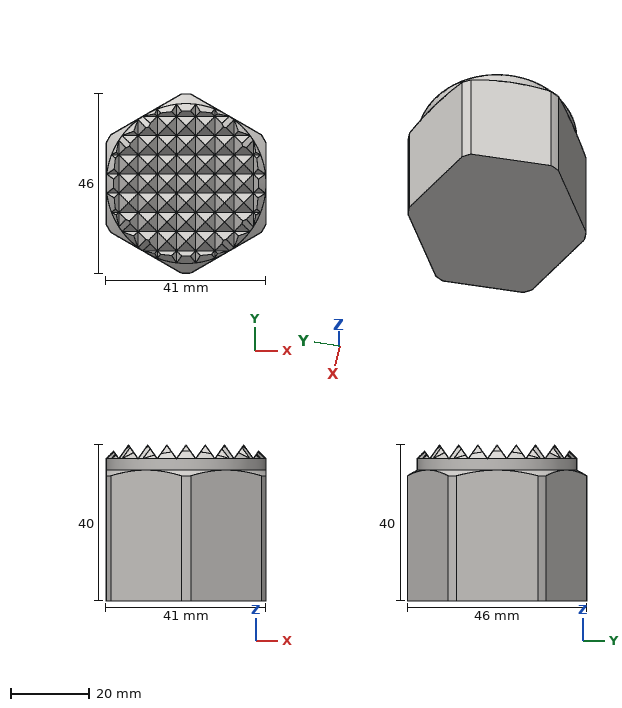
import cadquery as cq
import math

height = 40.0
across_flats = 41.0
corner_diameter = 46.0
tooth_height = 3.5
tooth_pitch = 4.9
grooves_per_direction = 8
collar_height = 2.95
shoulder_angle = 30.0
rim_bevel_angle = 45.0
hex_half_angle = 30.0

collar_radius = across_flats / 2
corner_radius = corner_diameter / 2
tooth_root_z = height - tooth_height
collar_base_z = tooth_root_z - collar_height
shoulder_drop = (corner_radius - collar_radius) * math.tan(math.radians(shoulder_angle))
corner_top_z = collar_base_z - shoulder_drop
bevel_top_radius = collar_radius - tooth_height / math.tan(math.radians(rim_bevel_angle))


def hex_prism():
    """Full-height hexagon with corners along Y and flats facing X."""
    circumscribed_diameter = across_flats / math.cos(math.radians(hex_half_angle))
    return (
        cq.Workplane("XY")
        .polygon(6, circumscribed_diameter)
        .extrude(height)
        .rotate((0, 0, 0), (0, 0, 1), hex_half_angle)
    )


def turned_envelope():
    """Revolved limit: rounded corners, conical shoulder, collar and beveled tooth rim."""
    return (
        cq.Workplane("XZ")
        .lineTo(corner_radius, 0)
        .lineTo(corner_radius, corner_top_z)
        .lineTo(collar_radius, collar_base_z)
        .lineTo(collar_radius, tooth_root_z)
        .lineTo(bevel_top_radius, height)
        .lineTo(0, height)
        .close()
        .revolve(axisStart=(0, 0, 0), axisEnd=(0, 1, 0))
    )


def v_grooves(plane):
    """Row of parallel V-grooves cut down to the tooth roots, running normal to the plane."""
    half_pitch = tooth_pitch / 2
    middle_index = (grooves_per_direction - 1) / 2
    grooves = cq.Workplane(plane)
    for index in range(grooves_per_direction):
        center = (index - middle_index) * tooth_pitch
        grooves = (
            grooves.moveTo(center, tooth_root_z)
            .lineTo(center + half_pitch, height)
            .lineTo(center - half_pitch, height)
            .close()
        )
    return grooves.extrude(corner_radius, both=True)


body = hex_prism().intersect(turned_envelope())

result = body.cut(v_grooves("XZ")).cut(v_grooves("YZ"))